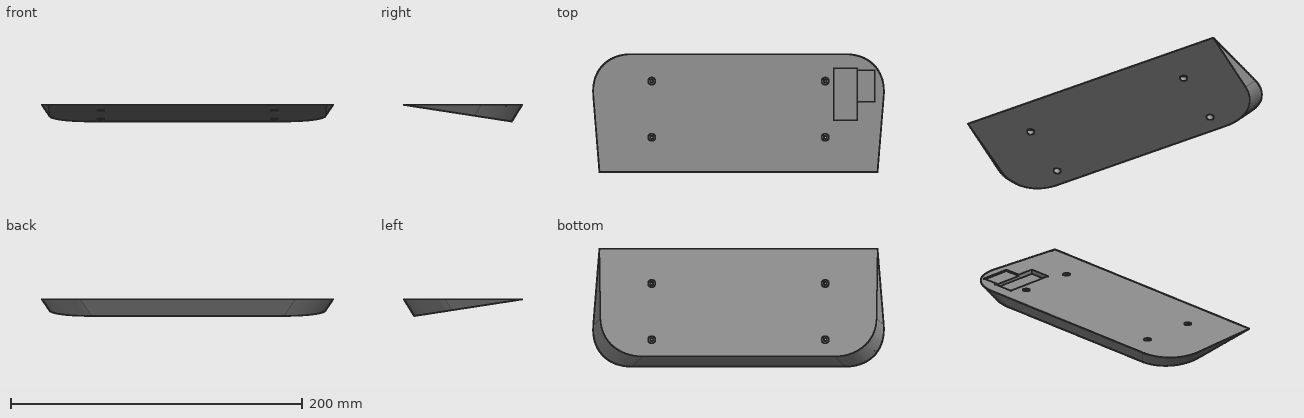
import cadquery as cq
import math

depth = 81.1
height = 11.5
front_width = 191.0
sharp_back_width = 204.2
corner_radius = 31.0
rim_height = 0.2
drafted_height = height - rim_height
wall_draft = 32.0

hole_diameter = 2.0
counterbore_diameter = 5.0
skin_thickness = 0.3
hole_spacing_x = 119.0
hole_spacing_y = 38.5
front_hole_y = 24.0

deep_left = 65.5
deep_front = 35.8
deep_width = 16.0
deep_length = 35.8
deep_depth = 3.2
shallow_front = 48.3
shallow_width = 12.0
shallow_length = 21.8
shallow_depth = 1.0


def drafted_plate():
    """Plate widening toward the back, with leaning walls and rounded back corners."""
    return (
        cq.Workplane("XY", origin=(0, 0, -rim_height))
        .polyline([
            (-front_width / 2, 0),
            (front_width / 2, 0),
            (sharp_back_width / 2, depth),
            (-sharp_back_width / 2, depth),
        ])
        .close()
        .extrude(-drafted_height, taper=wall_draft)
        .edges(cq.selectors.BoxSelector(
            (-sharp_back_width, depth / 2, -height),
            (sharp_back_width, depth, -rim_height - drafted_height / 4),
        ))
        .edges("not #Z")
        .fillet(corner_radius)
    )


def wedge_body():
    """Drafted plate with an upright rim, trimmed by an underside falling to the back."""
    drafted = drafted_plate()
    rim = drafted.faces(">Z").wires().toPending().workplane().extrude(rim_height, combine=False)
    back_inset = drafted_height * math.tan(math.radians(wall_draft))
    slope = drafted_height / (depth - back_inset)
    envelope = (
        cq.Workplane("YZ")
        .polyline([(0, 0), (depth, 0), (depth, -rim_height - slope * depth), (0, -rim_height)])
        .close()
        .extrude(sharp_back_width / 2, both=True)
    )
    return rim.union(drafted).intersect(envelope)


def top_pocket(left, front, size_x, size_y, pocket_depth):
    return cq.Workplane("XY").box(size_x, size_y, pocket_depth, centered=False).translate(
        (left, front, -pocket_depth)
    )


def screw_holes():
    centers = [
        (side * hole_spacing_x / 2, front_hole_y + row * hole_spacing_y)
        for side in (-1, 1)
        for row in (0, 1)
    ]
    through = cq.Workplane("XY").pushPoints(centers).circle(hole_diameter / 2).extrude(-height)
    counterbores = (
        cq.Workplane("XY", origin=(0, 0, -skin_thickness))
        .pushPoints(centers)
        .circle(counterbore_diameter / 2)
        .extrude(-height)
    )
    return through.union(counterbores)


deep_pocket = top_pocket(deep_left, deep_front, deep_width, deep_length, deep_depth)
shallow_pocket = top_pocket(
    deep_left + deep_width, shallow_front, shallow_width, shallow_length, shallow_depth
)
result = wedge_body().cut(deep_pocket).cut(shallow_pocket).cut(screw_holes())